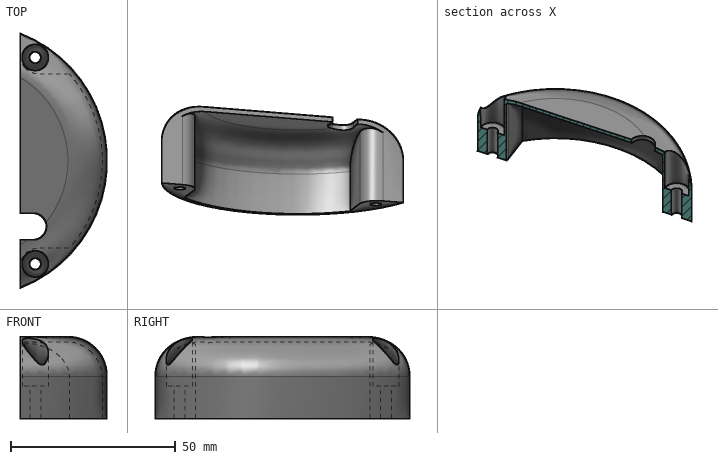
import cadquery as cq
import math

OUTER_RADIUS = 41.5
HEIGHT = 25.0
WALL = 1.5
OUTER_ROUND = 12.0
INNER_ROUND = 11.0
CHORD_X = 15.0

INNER_RADIUS = OUTER_RADIUS - WALL
CAVITY_HEIGHT = HEIGHT - WALL

SCREW_CIRCLE_RADIUS = 37.0
SCREW_ANGLE = math.radians(58)
SCREW_X = SCREW_CIRCLE_RADIUS * math.cos(SCREW_ANGLE)
SCREW_Y = SCREW_CIRCLE_RADIUS * math.sin(SCREW_ANGLE)
SCREW_HOLE_DIAMETER = 3.4
SCREW_HEAD_DIAMETER = 8.0
SCREW_SEAT_Z = 10.0
POST_INNER_Y = 26.5
POST_CORNER_RADIUS = 5.5

SLOT_WIDTH = 8.0
SLOT_CENTER_Y = -20.0
SLOT_LENGTH = 8.0


def rounded_cap(radius, height, edge_round):
    """Solid cylinder standing on Z = 0 with its top edge rounded."""
    return cq.Workplane("XY").circle(radius).extrude(height).faces(">Z").edges().fillet(edge_round)


def beyond_chord(body):
    """The portion of a body on the +X side of the chord plane."""
    keep = (
        cq.Workplane("XY")
        .box(OUTER_RADIUS, 2 * OUTER_RADIUS, HEIGHT, centered=(False, True, False))
        .translate((CHORD_X, 0, 0))
    )
    return body.intersect(keep)


def cavity():
    """Hollow of the cover, stopping at the round-cornered screw posts."""
    hollow = rounded_cap(INNER_RADIUS, CAVITY_HEIGHT, INNER_ROUND)
    corner_x = CHORD_X + POST_CORNER_RADIUS
    corner_y = POST_INNER_Y + POST_CORNER_RADIUS
    diagonal = POST_CORNER_RADIUS * math.sqrt(0.5)
    arc_x = corner_x - diagonal
    arc_y = corner_y - diagonal
    between_posts = (
        cq.Workplane("XY")
        .moveTo(CHORD_X, -corner_y)
        .threePointArc((arc_x, -arc_y), (corner_x, -POST_INNER_Y))
        .lineTo(OUTER_RADIUS, -POST_INNER_Y)
        .lineTo(OUTER_RADIUS, POST_INNER_Y)
        .lineTo(corner_x, POST_INNER_Y)
        .threePointArc((arc_x, arc_y), (CHORD_X, corner_y))
        .close()
        .extrude(HEIGHT)
    )
    return hollow.intersect(between_posts)


def screw_holes():
    """Through holes with deep head recesses, one in each post."""
    centers = [(SCREW_X, -SCREW_Y), (SCREW_X, SCREW_Y)]
    shanks = cq.Workplane("XY").pushPoints(centers).circle(SCREW_HOLE_DIAMETER / 2).extrude(HEIGHT)
    heads = (
        cq.Workplane("XY", origin=(0, 0, SCREW_SEAT_Z))
        .pushPoints(centers)
        .circle(SCREW_HEAD_DIAMETER / 2)
        .extrude(HEIGHT - SCREW_SEAT_Z)
    )
    return shanks.union(heads)


def cable_slot():
    """Round-ended slot reaching in from the chord plane."""
    return (
        cq.Workplane("XY")
        .center(CHORD_X, SLOT_CENTER_Y)
        .slot2D(2 * SLOT_LENGTH, SLOT_WIDTH)
        .extrude(HEIGHT)
    )


cover = beyond_chord(rounded_cap(OUTER_RADIUS, HEIGHT, OUTER_ROUND))
result = cover.cut(cavity()).cut(screw_holes()).cut(cable_slot())